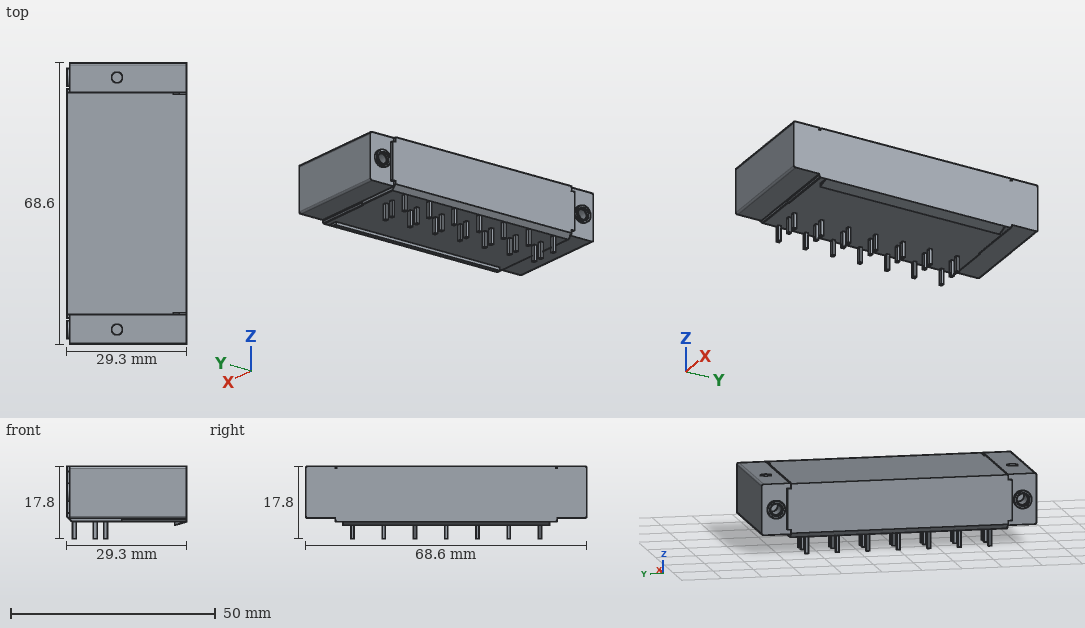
import cadquery as cq


overall_width = 29.25
overall_length = 68.58
overall_height = 17.77

body_length = 54.18
body_height = 13.6
front_bevel = 1.3
side_bevel_start = 13.45
side_bevel_height = 0.62
side_bevel_depth = 0.3
edge_break = 0.1

ear_setback = 0.7
ear_height = 12.7
ear_length = (overall_length - body_length) / 2
ear_round = 0.5

tab_overlap = 0.93
tab_top = -1.25
tab_bottom = -11.45

boss_y = 30.75
boss_z = -ear_height / 2
boss_diameter = 4.4
screw_recess_diameter = 3.25
screw_recess_depth = ear_setback
screw_hole_diameter = 2.7
screw_hole_depth = 5.0

top_hole_x = 12.25
top_hole_diameter = 2.65
top_hole_depth = 5.0

notch_length = 3.3
notch_ramp = 1.5
notch_width = 0.4
notch_depth = 3.0
notch_floor_depth = 0.5

foot_length = 2.95
foot_span = 50.4
foot_drop = 0.85

grid = 2.54
pin_row_x = [1.85, 1.85 + 2 * grid, 1.85 + 3 * grid]
pin_pitch = 3 * grid
pins_per_row = 7
pin_size_x = 1.0
pin_size_y = 0.76


def box(x0, x1, y0, y1, z0, z1):
    """Box between two opposite corners."""
    return cq.Workplane("XY").box(x1 - x0, y1 - y0, z1 - z0, centered=False).translate((x0, y0, z0))


def side_prism(points, length, y_centre=0):
    """Outline in the XZ plane extruded along Y, centred on y_centre."""
    prism = cq.Workplane("XZ").polyline(points).close().extrude(length / 2, both=True)
    return prism.translate((0, y_centre, 0))


def break_edges(block):
    """Small chamfer on the top and bottom edges that run along X."""
    block = block.faces(">Z").edges("|X").chamfer(edge_break)
    return block.faces("<Z").edges("|X").chamfer(edge_break)


def make_body():
    """Central body with a bevelled lower front edge and its long side edges broken."""
    outline = [
        (0, 0),
        (overall_width, 0),
        (overall_width, -body_height),
        (front_bevel, -body_height),
        (0, front_bevel - body_height),
    ]
    body = side_prism(outline, body_length)
    for side in (-1, 1):
        body = body.cut(make_side_bevel(side))
    return break_edges(body)


def make_side_bevel(side):
    """Cutter for the bevel along the rear part of a lower side edge."""
    y_side = side * body_length / 2
    outline = [
        (y_side, -body_height),
        (y_side, side_bevel_height - body_height),
        (y_side - side * side_bevel_depth, -body_height),
    ]
    bevel = cq.Workplane("YZ", origin=(side_bevel_start, 0, 0)).polyline(outline).close()
    return bevel.extrude(overall_width - side_bevel_start)


def make_ear(side):
    """End block with its outer long edges rounded."""
    y_inner = body_length / 2
    ear = box(ear_setback, overall_width, y_inner, y_inner + ear_length, -ear_height, 0)
    ear = ear.faces(">Y").edges("|X").fillet(ear_round)
    return ear if side > 0 else ear.mirror("XZ")


def make_tab(side):
    """Front tab, with broken outer edges, that carries the body face over the edge of an ear."""
    y_outer = body_length / 2 + tab_overlap
    tab = box(0, ear_setback, 0, y_outer, tab_bottom, tab_top)
    tab = tab.faces(">Y").edges("|X").chamfer(edge_break)
    return tab if side > 0 else tab.mirror("XZ")


def cylinder_along_x(side, diameter, depth):
    """Cylinder on a screw axis, starting at the front face."""
    return cq.Workplane("YZ").center(side * boss_y, boss_z).circle(diameter / 2).extrude(depth)


def make_top_hole(side):
    """Cutter for the blind hole in the top of an ear."""
    hole = cq.Workplane("XY").center(top_hole_x, side * boss_y)
    return hole.circle(top_hole_diameter / 2).extrude(-top_hole_depth)


def make_notch(side):
    """Cutter for the notch along the top joint, with a ramp rising from its front end."""
    x_start = overall_width - notch_length
    outline = [
        (x_start, 0),
        (overall_width, 0),
        (overall_width, -notch_floor_depth),
        (x_start + notch_ramp, -notch_floor_depth),
        (x_start, -notch_depth),
    ]
    return side_prism(outline, notch_width, side * (body_length - notch_width) / 2)


def make_foot():
    """Wedge that tapers to nothing at the rear face."""
    x_start = overall_width - foot_length
    outline = [
        (x_start, -body_height),
        (x_start, -body_height - foot_drop),
        (overall_width, -body_height),
    ]
    return side_prism(outline, foot_span)


def make_pins():
    """Rectangular pins standing on the underside of the body."""
    pin_length = overall_height - body_height
    first_y = -(pins_per_row - 1) / 2 * pin_pitch
    places = [(x, first_y + i * pin_pitch) for x in pin_row_x for i in range(pins_per_row)]
    pins = cq.Workplane("XY", origin=(0, 0, -overall_height)).pushPoints(places)
    return pins.rect(pin_size_x, pin_size_y).extrude(pin_length)


result = make_body().union(make_foot()).union(make_pins())
for side in (-1, 1):
    result = result.union(make_ear(side)).union(make_tab(side))
    result = result.union(cylinder_along_x(side, boss_diameter, ear_setback))
    result = result.cut(cylinder_along_x(side, screw_recess_diameter, screw_recess_depth))
    result = result.cut(cylinder_along_x(side, screw_hole_diameter, screw_hole_depth))
    result = result.cut(make_top_hole(side))
    result = result.cut(make_notch(side))